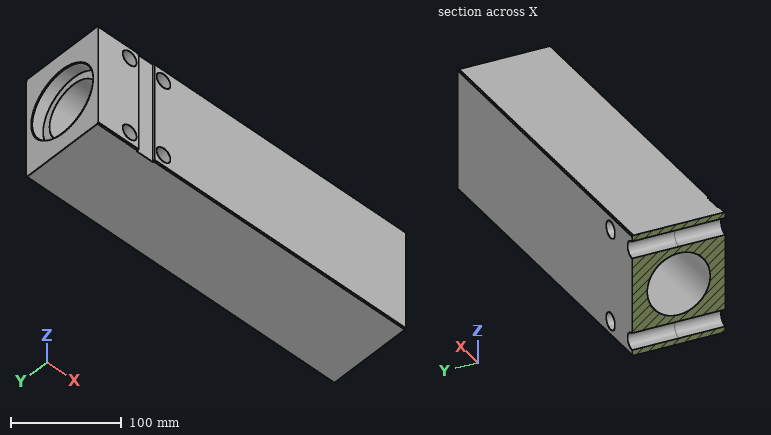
import cadquery as cq

length = 381.0
depth = 95.0
height = 125.0
edge_chamfer = 1.0

bore_diameter = 63.2
bore_end_wall = 30.5
counterbore_diameter = 80.0
counterbore_depth = 14.0
mouth_chamfer = 0.8

keyway_centre_x = 60.0
keyway_width = 20.0
keyway_depth = 2.3

hole_diameter = 17.0
hole_pitch_x = 42.0
hole_pitch_z = 95.0


def make_block():
    """Block with its -X end at X = 0, centred on Y and Z, long edges chamfered."""
    block = cq.Workplane("XY").box(length, depth, height, centered=(False, True, True))
    return block.edges("|X").chamfer(edge_chamfer)


def make_bore():
    """Bore, wider counterbore and chamfered mouth, revolved about the X axis."""
    bore_radius = bore_diameter / 2
    counterbore_radius = counterbore_diameter / 2
    bore_depth = length - bore_end_wall
    return (
        cq.Workplane("XY")
        .moveTo(0, 0)
        .lineTo(0, counterbore_radius + mouth_chamfer)
        .lineTo(mouth_chamfer, counterbore_radius)
        .lineTo(counterbore_depth, counterbore_radius)
        .lineTo(counterbore_depth, bore_radius)
        .lineTo(bore_depth, bore_radius)
        .lineTo(bore_depth, 0)
        .close()
        .revolve(360, (0, 0, 0), (1, 0, 0))
    )


def make_keyway():
    """Shallow slot running the full height of the mounting face."""
    slot = cq.Workplane("XY").box(keyway_width, keyway_depth, height, centered=(True, False, True))
    return slot.translate((keyway_centre_x, -depth / 2, 0))


def make_mounting_holes():
    """Four through holes, two on each side of the keyway."""
    return (
        cq.Workplane("XZ", origin=(keyway_centre_x, 0, 0))
        .rarray(hole_pitch_x, hole_pitch_z, 2, 2)
        .circle(hole_diameter / 2)
        .extrude(depth, both=True)
    )


result = make_block().cut(make_bore()).cut(make_keyway()).cut(make_mounting_holes())